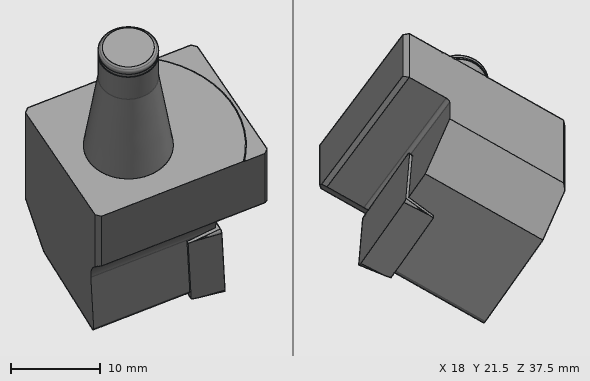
import cadquery as cq
import math


block_left = -10.0
block_right = block_left + 18
block_front = -8.0
block_back = 13.5
ledge_z = -9.82
seat_face_y = 7.6
ledge_fillet = 0.5
corner_chamfer = 0.52
bevel_top_z = -14.0
bevel_size = 5.0
relief_angle = 5
lower_corner_x = 7.15
lower_corner_radius = 0.38
notch_top_z = -8.4
notch_bottom_z = -11.62
corner_land_radius = 13.0
corner_land_drop = 0.08
corner_land_slope = 0.1

pin_base_diameter = 10.0
pin_diameter = 6.75
pin_neck_diameter = 6.6
pin_cone_height = 11.6
pin_neck_z = 15.3
pin_lip_z = 15.7
pin_height = 16.5
pin_rim_diameter = 6.3
pin_rim_z = 16.35
pin_top_diameter = 5.78

insert_inscribed_diameter = 9.52
insert_thickness = 3.98
insert_back = 8.0
insert_clearance_angle = 7
nose_radius = 0.4
insert_tip_z = -21.0

tilt = math.radians(relief_angle)


def make_block():
    bevel_end_x = block_left + bevel_size
    bevel_end_z = bevel_top_z - bevel_size
    lower_corner_z = bevel_end_z - (lower_corner_x - bevel_end_x) * math.tan(tilt)
    notch_x = lower_corner_x - (notch_bottom_z - lower_corner_z) * math.tan(tilt)
    outline = (
        cq.Workplane("XZ", origin=(0, block_back, 0))
        .moveTo(block_right, 0)
        .lineTo(block_left, 0)
        .lineTo(block_left, bevel_top_z)
        .lineTo(bevel_end_x, bevel_end_z)
        .lineTo(lower_corner_x, lower_corner_z)
        .lineTo(notch_x, notch_bottom_z)
        .tangentArcPoint((block_right, notch_top_z), relative=False)
        .close()
    )
    block = outline.extrude(block_back - block_front)
    corner_point = (lower_corner_x, 0, lower_corner_z)
    block = block.edges(cq.NearestToPointSelector(corner_point)).fillet(lower_corner_radius)
    return block.intersect(make_side_profile()).intersect(make_plan_profile())


def make_side_profile():
    profile = (
        cq.Workplane("YZ", origin=(block_left, 0, 0))
        .moveTo(block_front, 0)
        .lineTo(block_back, 0)
        .lineTo(block_back, ledge_z + corner_chamfer)
        .lineTo(block_back - corner_chamfer, ledge_z)
        .lineTo(seat_face_y + ledge_fillet, ledge_z)
        .tangentArcPoint((seat_face_y, ledge_z - ledge_fillet), relative=False)
        .lineTo(seat_face_y, insert_tip_z)
        .lineTo(block_front, insert_tip_z)
        .close()
    )
    return profile.extrude(block_right - block_left)


def make_plan_profile():
    profile = (
        cq.Workplane("XY")
        .moveTo(block_left + corner_chamfer, block_front)
        .lineTo(block_right - corner_chamfer, block_front)
        .lineTo(block_right, block_front + corner_chamfer)
        .lineTo(block_right, block_back - corner_chamfer)
        .lineTo(block_right - corner_chamfer, block_back)
        .lineTo(block_left + corner_chamfer, block_back)
        .lineTo(block_left, block_back - corner_chamfer)
        .lineTo(block_left, block_front + corner_chamfer)
        .close()
    )
    return profile.extrude(insert_tip_z)


def lower_rear_corners(block):
    outer_radius = 2 * corner_land_radius
    cutter = (
        cq.Workplane("XZ")
        .moveTo(corner_land_radius, 0)
        .lineTo(corner_land_radius + corner_land_slope, -corner_land_drop)
        .lineTo(outer_radius, -corner_land_drop)
        .lineTo(outer_radius, 0)
        .close()
        .revolve(360, (0, 0), (0, 1))
    )
    return block.cut(cutter)


def make_pin():
    lip_mid_z = (pin_lip_z + pin_rim_z) / 2
    return (
        cq.Workplane("XZ")
        .lineTo(pin_base_diameter / 2, 0)
        .lineTo(pin_diameter / 2, pin_cone_height)
        .lineTo(pin_diameter / 2, pin_neck_z)
        .lineTo(pin_neck_diameter / 2, pin_neck_z)
        .lineTo(pin_neck_diameter / 2, pin_lip_z)
        .threePointArc((pin_diameter / 2, lip_mid_z), (pin_rim_diameter / 2, pin_rim_z))
        .lineTo(pin_top_diameter / 2, pin_height)
        .lineTo(0, pin_height)
        .close()
        .revolve(360, (0, 0), (0, 1))
    )


def make_insert():
    nose_angle = math.pi / 2 - 2 * tilt
    side = insert_inscribed_diameter / math.sin(nose_angle)
    sharp_offset = nose_radius / math.sin(nose_angle / 2) / math.sqrt(2)
    tip_x = block_right - nose_radius + sharp_offset
    tip_z = insert_tip_z + nose_radius - sharp_offset
    long_step = side * math.cos(tilt)
    short_step = side * math.sin(tilt)
    corners = [
        (tip_x, tip_z),
        (tip_x - short_step, tip_z + long_step),
        (tip_x - short_step - long_step, tip_z + long_step + short_step),
        (tip_x - long_step, tip_z + short_step),
    ]
    rhombus = cq.Sketch().polygon(corners + corners[:1]).vertices().fillet(nose_radius)
    return (
        cq.Workplane("XZ", origin=(0, insert_back, 0))
        .placeSketch(rhombus)
        .extrude(insert_thickness, taper=insert_clearance_angle)
    )


insert = make_insert()
holder = lower_rear_corners(make_block()).union(make_pin()).cut(insert)

result = cq.Compound.makeCompound([holder.val(), insert.val()])